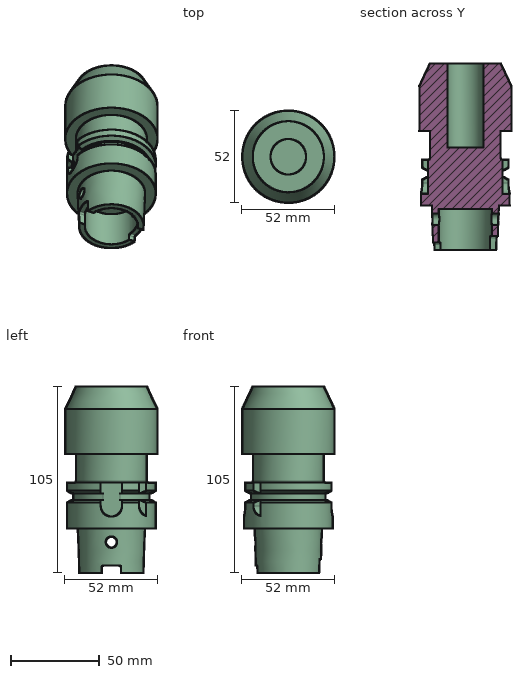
import cadquery as cq
import math

total_height = 105.0
collar_bottom = 25.0
groove_lower_edge = 39.6
groove_upper_edge = 46.3
collar_top = 50.9
head_bottom = 66.9
head_cone_start = 92.3

shank_end_radius = 18.2
shank_base_radius = 19.0
collar_radius = 25.0
groove_radius = 21.5
flank_inner_radius = 22.4
neck_radius = 40.0 / 2
head_radius = 52.0 / 2
neck_fillet = 0.8

groove_flank_angle = 30
groove_flank_height = (collar_radius - flank_inner_radius) * math.tan(math.radians(groove_flank_angle))

bore_radius = 10.0
bore_depth = 47.2
cavity_radius = 14.9
cavity_depth = 23.1

slot_radius = 6.0
slot_center_height = 37.8
slot_floor = 21.0
notch_corner = 15.5

keyway_width = 10.7
keyway_corner_radius = 0.9
left_keyway_depth = 4.2
right_keyway_depth = 7.9
cross_hole_radius = 3.0
cross_hole_height = 17.4


def turned_body():
    """Revolve the shank, grooved collar, neck and head about Z."""
    return (
        cq.Workplane("XZ")
        .moveTo(0, 0)
        .lineTo(shank_end_radius, 0)
        .lineTo(shank_base_radius, collar_bottom)
        .lineTo(collar_radius, collar_bottom)
        .lineTo(collar_radius, groove_lower_edge)
        .lineTo(flank_inner_radius, groove_lower_edge + groove_flank_height)
        .lineTo(groove_radius, groove_lower_edge + groove_flank_height)
        .lineTo(groove_radius, groove_upper_edge - groove_flank_height)
        .lineTo(flank_inner_radius, groove_upper_edge - groove_flank_height)
        .lineTo(collar_radius, groove_upper_edge)
        .lineTo(collar_radius, collar_top)
        .lineTo(neck_radius + neck_fillet, collar_top)
        .radiusArc((neck_radius, collar_top + neck_fillet), neck_fillet)
        .lineTo(neck_radius, head_bottom)
        .lineTo(head_radius, head_bottom)
        .lineTo(head_radius, head_cone_start)
        .lineTo(neck_radius, total_height)
        .lineTo(0, total_height)
        .close()
        .revolve(360, (0, 0, 0), (0, 1, 0))
    )


def round_bottom_slot(inner_x, center_y):
    """Slot open towards +X and upwards, with a half-round lower end."""
    return (
        cq.Workplane("YZ", origin=(inner_x, center_y, slot_center_height))
        .moveTo(-slot_radius, 0)
        .threePointArc((0, -slot_radius), (slot_radius, 0))
        .lineTo(slot_radius, collar_top - slot_center_height)
        .lineTo(-slot_radius, collar_top - slot_center_height)
        .close()
        .extrude(collar_radius - inner_x)
    )


def keyway(depth):
    """Keyway across the +X half of the shank end, with rounded top corners."""
    return (
        cq.Workplane("XY")
        .box(collar_radius, keyway_width, depth, centered=(False, True, False))
        .edges("|X and >Z")
        .fillet(keyway_corner_radius)
    )


def on_opposite_side(tool):
    """Turn a cutting tool from the +X side to the -X side."""
    return tool.rotate((0, 0, 0), (0, 0, 1), 180)


body = turned_body()

bore = cq.Workplane("XY", origin=(0, 0, total_height - bore_depth)).circle(bore_radius).extrude(bore_depth)
cavity = cq.Workplane("XY").circle(cavity_radius).extrude(cavity_depth)
body = body.cut(bore).cut(cavity)

driver_slot = round_bottom_slot(slot_floor, 0)
notch = round_bottom_slot(notch_corner, notch_corner + slot_radius)
body = body.cut(driver_slot).cut(on_opposite_side(driver_slot))
body = body.cut(on_opposite_side(notch))

body = body.cut(keyway(right_keyway_depth)).cut(on_opposite_side(keyway(left_keyway_depth)))
cross_hole = (
    cq.Workplane("YZ", origin=(0, 0, cross_hole_height))
    .circle(cross_hole_radius)
    .extrude(shank_base_radius, both=True)
)
result = body.cut(cross_hole)